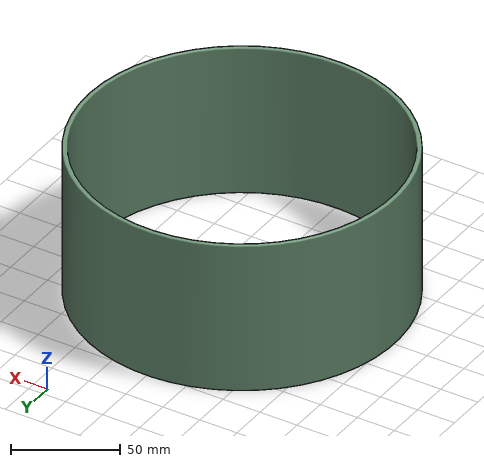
import cadquery as cq

outer_diameter = 165.0
height = 80.0
wall = 2.5
rim_fillet = 0.75

outer_radius = outer_diameter / 2
inner_radius = outer_radius - wall

sleeve = cq.Workplane("XY").circle(outer_radius).circle(inner_radius).extrude(height)

result = sleeve.edges("%CIRCLE").fillet(rim_fillet)